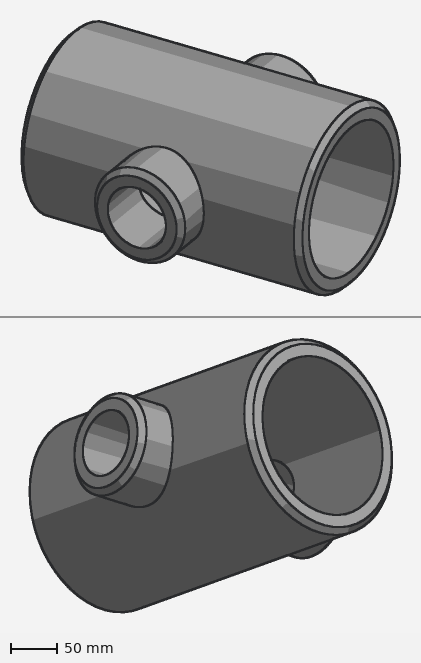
import cadquery as cq

run_length = 355.6
run_diameter = 219.1
run_bore = 177.9

branch_span = 310.9
branch_diameter = 114.3
branch_bore = 73.6

end_bevel = 6.9


def centred_cylinder(plane, diameter, length):
    """Solid cylinder centred on the origin, along the normal of the plane."""
    return cq.Workplane(plane).circle(diameter / 2).extrude(length / 2, both=True)


def bevelled_bar(plane, diameter, length, end_faces):
    """Centred cylinder with both of its end rims bevelled."""
    bar = centred_cylinder(plane, diameter, length)
    return bar.faces(end_faces).edges().chamfer(end_bevel)


run = bevelled_bar("YZ", run_diameter, run_length, "|X")
branches = bevelled_bar("XZ", branch_diameter, branch_span, "|Y")
body = run.union(branches)

run_hole = centred_cylinder("YZ", run_bore, run_length)
branch_hole = centred_cylinder("XZ", branch_bore, branch_span)

result = body.cut(run_hole).cut(branch_hole)